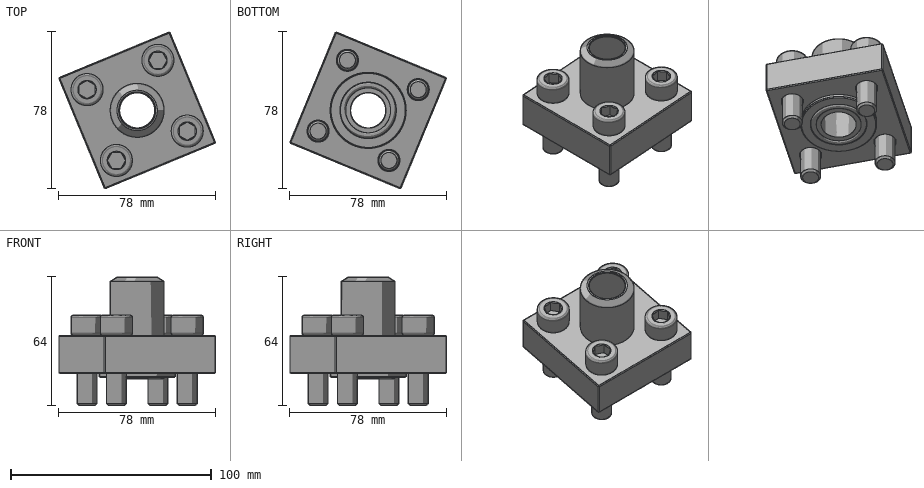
import cadquery as cq
import math

overall_width = 78.0
plate_turn = 22.5
plate_thickness = 19.0
plate_chamfer = 0.5
turn = math.radians(plate_turn)
plate_side = (overall_width + 2 * plate_chamfer * math.sin(turn)) / (math.cos(turn) + math.sin(turn))

face_diameter = 38.0
face_height = 1.95
face_chamfer = 0.5

neck_diameter = 26.9
neck_height = 28.95
neck_edge_chamfer = 0.2
bevel_base_diameter = neck_diameter - 2 * neck_edge_chamfer
bevel_diameter = 20.1
bevel_height = 1.95

outlet_diameter = 17.5
bore_diameter = 17.9
mouth_chamfer = 0.3

groove_inner_diameter = 22.4
groove_outer_diameter = 28.2
ring_thickness = 2.65
ring_protrusion = 0.7
groove_depth = ring_thickness - ring_protrusion
ring_radius = (groove_inner_diameter + ring_thickness) / 2

screw_count = 4
screw_spacing = 360 / screw_count
screw_pitch = 38.2
screw_circle_radius = screw_pitch / math.sqrt(2)
first_screw_angle = plate_turn + 45
screw_hole_diameter = 11.0
shank_diameter = 10.0
shank_protrusion = 16.0
shank_chamfer = 1.0
head_diameter = 16.0
head_height = 10.0
head_fillet = 1.0
socket_corner_diameter = 9.2
socket_flat_width = socket_corner_diameter * math.sqrt(3) / 2
socket_depth = 6.0
socket_lead_height = 0.55


def cylinder(diameter, height, base_z):
    return cq.Workplane("XY").workplane(offset=base_z).circle(diameter / 2).extrude(height)


def cone(base_diameter, top_diameter, height, base_z):
    direction = cq.Vector(0, 0, 1)
    base = cq.Vector(0, 0, base_z)
    return cq.Workplane(cq.Solid.makeCone(base_diameter / 2, top_diameter / 2, height, base, direction))


def make_plate():
    block = cq.Workplane("XY").rect(plate_side, plate_side).extrude(plate_thickness)
    block = block.edges().chamfer(plate_chamfer)
    return block.rotate((0, 0, 0), (0, 0, 1), plate_turn)


def make_sealing_face():
    face = cylinder(face_diameter, face_height, -face_height)
    return face.faces("<Z").edges().chamfer(face_chamfer)


def make_neck():
    straight_height = neck_height - bevel_height
    straight = cylinder(neck_diameter, straight_height, plate_thickness)
    straight = straight.faces(">Z").edges().chamfer(neck_edge_chamfer)
    bevel = cone(bevel_base_diameter, bevel_diameter, bevel_height, plate_thickness + straight_height)
    return straight.union(bevel)


def make_passage():
    top_z = plate_thickness + neck_height
    mouth_diameter = bore_diameter + 2 * mouth_chamfer
    taper = cone(outlet_diameter, bore_diameter, plate_thickness + face_height, -face_height)
    bore = cylinder(bore_diameter, neck_height, plate_thickness)
    mouth = cone(bore_diameter, mouth_diameter, mouth_chamfer, top_z - mouth_chamfer)
    return taper.union(bore).union(mouth)


def make_groove():
    outer = cylinder(groove_outer_diameter, groove_depth, -face_height)
    return outer.cut(cylinder(groove_inner_diameter, groove_depth, -face_height))


def make_screw_holes():
    pattern = cq.Workplane("XY").polarArray(screw_circle_radius, first_screw_angle, 360, screw_count)
    return pattern.circle(screw_hole_diameter / 2).extrude(plate_thickness)


def make_flange():
    body = make_plate().union(make_sealing_face()).union(make_neck())
    return body.cut(make_passage()).cut(make_groove()).cut(make_screw_holes())


def make_sealing_ring():
    center_z = ring_thickness / 2 - face_height - ring_protrusion
    section = cq.Workplane("XZ").center(ring_radius, center_z).circle(ring_thickness / 2)
    return section.revolve(360, (-ring_radius, 0, 0), (-ring_radius, 1, 0))


def make_socket(top_z):
    hexagon = cq.Workplane("XY").workplane(offset=top_z).polygon(6, socket_corner_diameter)
    lead = cone(socket_flat_width, socket_corner_diameter, socket_lead_height, top_z - socket_lead_height)
    return hexagon.extrude(-socket_depth).union(lead)


def make_screw(angle):
    head = cylinder(head_diameter, head_height, plate_thickness).edges().fillet(head_fillet)
    shank = cylinder(shank_diameter, plate_thickness + shank_protrusion, -shank_protrusion)
    shank = shank.faces("<Z").edges().chamfer(shank_chamfer)
    screw = head.union(shank).cut(make_socket(plate_thickness + head_height))
    screw = screw.rotate((0, 0, 0), (0, 0, 1), angle - first_screw_angle)
    screw_x = screw_circle_radius * math.cos(math.radians(angle))
    screw_y = screw_circle_radius * math.sin(math.radians(angle))
    return screw.translate((screw_x, screw_y, 0))


flange = make_flange()
sealing_ring = make_sealing_ring()
screws = [make_screw(first_screw_angle + screw_spacing * index) for index in range(screw_count)]

result = cq.Compound.makeCompound([
    flange.solids().val(),
    sealing_ring.solids().val(),
    *[screw.solids().val() for screw in screws],
])